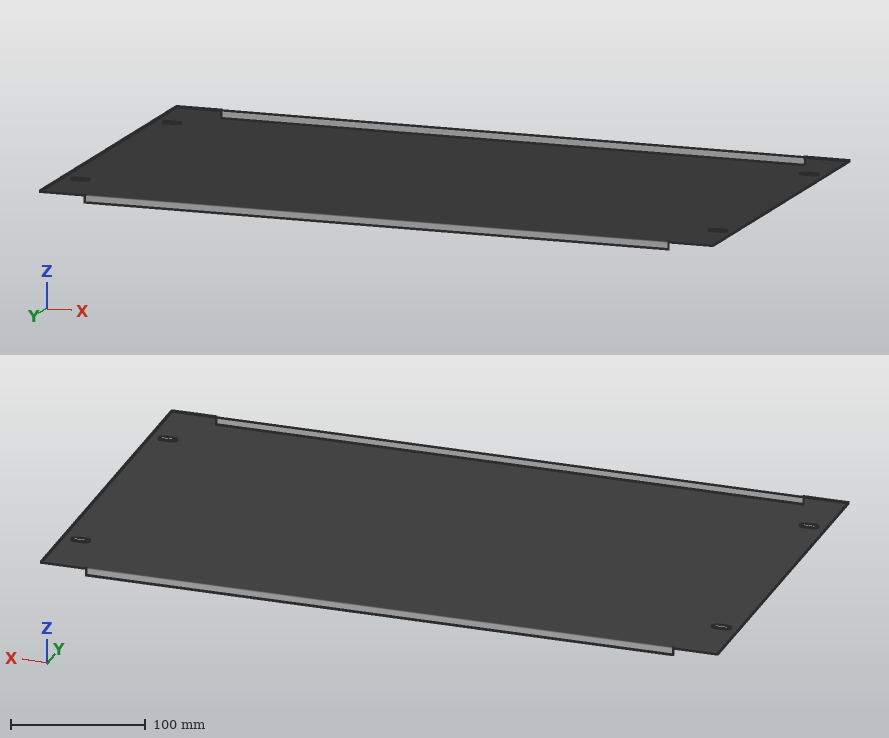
import cadquery as cq

panel_length = 530.0
panel_width = 299.0
panel_height = 6.5
sheet_thickness = 1.0

lip_length = 460.0
bend_outer_radius = 2.0
bend_inner_radius = bend_outer_radius - sheet_thickness

slot_length = 14.5
slot_width = 7.0
slot_spacing_x = 502.5
slot_spacing_y = 200.0


def folded_sheet():
    """Shallow channel: a flat web with a rounded bend and a lip on each long edge."""
    inner_width = panel_width - 2 * sheet_thickness
    outside = (
        cq.Workplane("XY")
        .box(lip_length, panel_width, panel_height, centered=(True, True, False))
        .translate((0, 0, -panel_height))
        .edges("|X and >Z")
        .fillet(bend_outer_radius)
    )
    inside = (
        cq.Workplane("XY")
        .box(lip_length, inner_width, panel_height, centered=(True, True, False))
        .translate((0, 0, -panel_height - sheet_thickness))
        .edges("|X and >Z")
        .fillet(bend_inner_radius)
    )
    return outside.cut(inside)


def end_ears():
    """Flat sheet at both ends, reaching past the lips."""
    ear_length = (panel_length - lip_length) / 2
    ear_centre = (panel_length - ear_length) / 2
    return (
        cq.Workplane("XY")
        .pushPoints([(-ear_centre, 0), (ear_centre, 0)])
        .rect(ear_length, panel_width)
        .extrude(-sheet_thickness)
    )


def mounting_slots():
    """Round-ended cutters, long in X, through the sheet."""
    return (
        cq.Workplane("XY")
        .rarray(slot_spacing_x, slot_spacing_y, 2, 2)
        .slot2D(slot_length, slot_width)
        .extrude(-panel_height)
    )


result = folded_sheet().union(end_ears()).cut(mounting_slots())